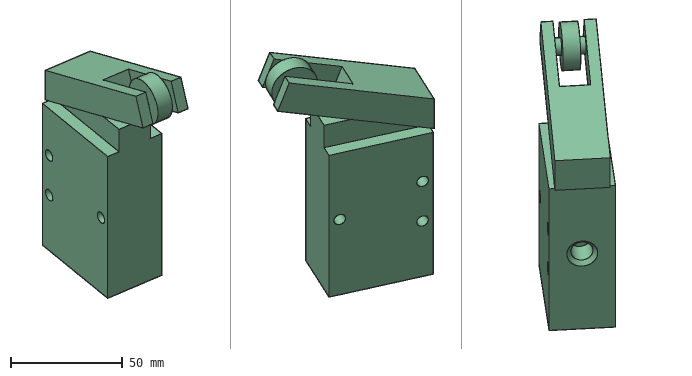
import cadquery as cq
import math

body_length = 50.0
body_width = 30.0
body_height = 78.8
base_cap_height = 10.0
top_cap_height = 5.0

mount_diameter = 5.5
mount_edge_distance = 5.2
mount_spacing = 22.0

port_diameter = 10.0
port_mouth_diameter = 13.9
port_mouth_depth = 2.0
port_depth = 12.3

pedestal_width = 17.5
pedestal_height = 12.4

lever_angle = 21.0
lever_thickness = 15.4
lever_width = 25.0
lever_reach = 75.0
lever_overhang = 1.4
fork_gap = 14.0
fork_start = 36.9

roller_diameter = 22.0
roller_width = 8.0
pin_diameter = 8.0
roller_reach = 63.7
overall_height = 123.0

slope = math.tan(math.radians(lever_angle))
lever_rise = lever_thickness / math.cos(math.radians(lever_angle))
thickness_x = lever_thickness * math.sin(math.radians(lever_angle))
thickness_z = lever_thickness * math.cos(math.radians(lever_angle))
heel_x = -lever_overhang
heel_z = body_height
port_z = (base_cap_height + body_height - top_cap_height) / 2


def extrude_along_y(points, width):
    """Prism of an XZ outline, centred on Y."""
    return cq.Workplane("XZ", origin=(0, width / 2, 0)).polyline(points).close().extrude(width)


def cylinder_along_y(x, z, diameter, length):
    """Cylinder centred on Y, with its axis at the given X and Z."""
    return cq.Workplane("XZ", origin=(x, length / 2, z)).circle(diameter / 2).extrude(length)


def make_body():
    body = cq.Workplane("XY").box(body_length, body_width, body_height, centered=(False, True, False))
    mount_points = [
        (mount_edge_distance, port_z + mount_spacing / 2),
        (mount_edge_distance, port_z - mount_spacing / 2),
        (body_length - mount_edge_distance, port_z),
    ]
    for x, z in mount_points:
        body = body.cut(cylinder_along_y(x, z, mount_diameter, body_width))
    port = (
        cq.Workplane("XZ", origin=(0, 0, port_z))
        .polyline([
            (0, 0),
            (0, port_mouth_diameter / 2),
            (port_mouth_depth, port_diameter / 2),
            (port_depth, port_diameter / 2),
            (port_depth, 0),
        ])
        .close()
        .revolve(360, (0, 0, 0), (1, 0, 0))
    )
    return body.cut(port)


def make_pedestal():
    return (
        cq.Workplane("XY", origin=(0, 0, body_height))
        .box(body_length, pedestal_width, pedestal_height, centered=(False, True, False))
    )


def make_lever():
    tip_x = heel_x + lever_reach
    tip_z = heel_z + lever_reach * slope
    lower_tip = (tip_x, tip_z)
    upper_tip = (tip_x - thickness_x, tip_z + thickness_z)
    lever = extrude_along_y(
        [(heel_x, heel_z), lower_tip, upper_tip, (heel_x, heel_z + lever_rise)],
        lever_width,
    )
    gap_x = heel_x + fork_start
    gap_z = heel_z + lever_rise + fork_start * slope
    gap = extrude_along_y(
        [(gap_x, gap_z), (gap_x + thickness_x, gap_z - thickness_z), lower_tip, upper_tip],
        fork_gap,
    )
    return lever.cut(gap)


def make_roller():
    x = heel_x + roller_reach
    z = overall_height - roller_diameter / 2
    roller = cylinder_along_y(x, z, roller_diameter, roller_width)
    pin = cylinder_along_y(x, z, pin_diameter, (fork_gap + lever_width) / 2)
    return roller.union(pin)


result = make_body().union(make_pedestal()).union(make_lever()).union(make_roller())